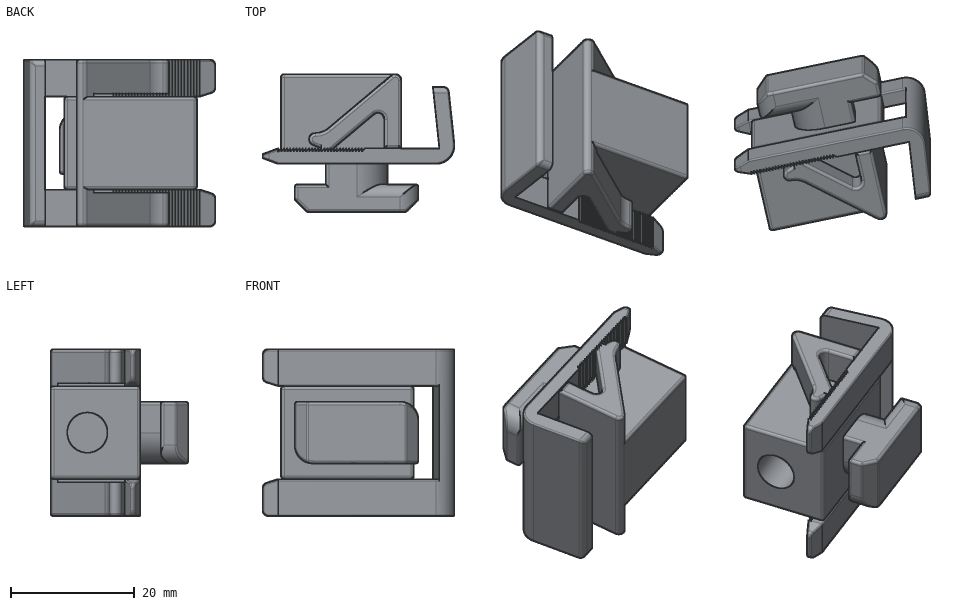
import cadquery as cq
import math

total_length = 31.0
total_height = 27.0
block_height = 15.0
edge_radius = 0.5
corner_radius = 1.0
half_height = total_height / 2
half_block = block_height / 2
tolerance = 0.03

block_left = -12.2
block_right = 7.22
base_right = 9.25
block_depth = 14.5
hole_diameter = 6.5
hole_depth = 15.0
hole_y = 8.55

stem_width = 10.0
stem_length = 3.3
head_width = 20.0
head_thickness = 4.5
head_chamfer = 2.0
head_corner_radius = 3.0
head_back_radius = 2.0
foot_front_y = -stem_length - head_thickness

fork_tip_x = -15.2
fork_thickness = 2.5
fork_edge_radius = 0.25
bend_radius = 3.0
plate_tilt = math.radians(6)
plate_end_y = 12.45
tip_length = 2.5
tip_width = 0.62
arm_flare = 0.8
rack_length = 14.0
tooth_count = 28
tooth_depth = 0.5
tooth_pitch = rack_length / tooth_count
root_y = fork_thickness - tooth_depth
rack_start = fork_tip_x + tip_length

pawl_gap = 0.5
leg_left = 4.43
pawl_angle = math.radians(40)
pawl_thickness = 3.0
pawl_crest_radius = 1.0
nose_radius = 1.0
nose_x = -6.7
nose_y = 4.0
nose_underside_angle = math.radians(22)
neck_radius = 3.35
gripped_tooth = 14
grip_x = rack_start + gripped_tooth * tooth_pitch


def along(point, angle, distance):
    """Point at a distance from another point in the direction of an angle."""
    return (point[0] + distance * math.cos(angle), point[1] + distance * math.sin(angle))


def extrude_z(profile, bottom, top):
    """Extrude a closed XY outline between two heights."""
    return profile.extrude(top - bottom).translate((0, 0, bottom))


def rack_cutter():
    """Sawtooth outline of the gaps between the teeth, open toward the back of the arms."""
    outline = cq.Workplane("XY").moveTo(rack_start, fork_thickness)
    for tooth in range(tooth_count):
        tooth_x = rack_start + tooth * tooth_pitch
        outline = outline.lineTo(tooth_x, root_y)
        outline = outline.lineTo(tooth_x + tooth_pitch, fork_thickness)
    return extrude_z(outline.close(), -half_height, half_height)


def rack_teeth():
    """The solid side of the sawtooth, down to below the roots of the teeth."""
    strip = cq.Workplane("XY").box(rack_length, 2 * tooth_depth, total_height)
    strip = strip.translate((rack_start + rack_length / 2, root_y, 0))
    return strip.cut(rack_cutter())



def fork_profile():
    """Side outline of the fork: tapered tip, straight arm, bend and tilted plate."""
    tip_bottom = (fork_thickness - tip_width) / 2
    bend = (fork_tip_x + total_length - bend_radius, bend_radius)
    bend_end = along(bend, plate_tilt, bend_radius)
    bend_middle = along(bend, (plate_tilt - math.pi / 2) / 2, bend_radius)

    def outer_x(y):
        return bend_end[0] - (y - bend_end[1]) * math.tan(plate_tilt)

    def inner_x(y):
        return outer_x(y) - fork_thickness / math.cos(plate_tilt)

    end_center_y = plate_end_y - corner_radius
    end_center = (outer_x(end_center_y) - corner_radius / math.cos(plate_tilt), end_center_y)
    profile = (
        cq.Workplane("XY")
        .moveTo(fork_tip_x, tip_bottom)
        .lineTo(rack_start, 0)
        .lineTo(bend[0], 0)
        .threePointArc(bend_middle, bend_end)
        .lineTo(*along(end_center, plate_tilt, corner_radius))
        .threePointArc(
            along(end_center, (plate_tilt + math.pi / 2) / 2, corner_radius),
            along(end_center, math.pi / 2, corner_radius),
        )
        .lineTo(inner_x(plate_end_y), plate_end_y)
        .lineTo(inner_x(fork_thickness), fork_thickness)
        .lineTo(rack_start, fork_thickness)
        .lineTo(fork_tip_x, tip_bottom + tip_width)
        .close()
    )
    return profile, inner_x(fork_thickness)


def is_rounded_fork_edge(edge):
    """The outline of each tapered tip and the edges along the outer face of the fork."""
    box = edge.BoundingBox()
    if box.xmax < rack_start + tolerance:
        runs_through_arm = box.xlen < tolerance and box.ylen > tolerance
        bounds_taper = box.xmin > rack_start - tolerance
        return not (runs_through_arm or bounds_taper)
    on_arm = box.ymax < fork_thickness / 2
    on_bend = box.ymin < tolerance and edge.geomType() == "CIRCLE"
    on_plate = box.xmin > block_right and box.ylen > plate_end_y / 2
    on_plate_outside = on_plate and box.ymin > fork_thickness + tolerance
    return (on_arm or on_bend or on_plate_outside) and box.zlen < tolerance


def make_fork():
    """Two toothed arms with tapered tips, joined by the tilted plate."""
    profile, slot_end = fork_profile()
    fork = extrude_z(profile, -half_height, half_height)

    slot = (
        cq.Workplane("XZ")
        .moveTo(fork_tip_x, half_block + arm_flare)
        .lineTo(rack_start, half_block)
        .lineTo(slot_end, half_block)
        .lineTo(slot_end, -half_block)
        .lineTo(rack_start, -half_block)
        .lineTo(fork_tip_x, -half_block - arm_flare)
        .close()
        .extrude(-fork_thickness)
    )
    fork = fork.cut(slot)

    fork = fork.faces("<X").edges("|Y").fillet(corner_radius)
    plate_end = (
        cq.Workplane("YZ")
        .rect(2 * plate_end_y, total_height)
        .extrude(total_length, both=True)
        .edges("|X and >Y")
        .fillet(corner_radius)
    )
    fork = fork.intersect(plate_end)
    fork = fork.edges().filter(is_rounded_fork_edge).fillet(fork_edge_radius)
    return fork.cut(rack_cutter())



def pawl_profile():
    """Outline of a leg and slanted arm, reaching down to the tooth roots under the nose."""
    slope = math.tan(pawl_angle)
    across = pawl_angle + math.pi / 2
    nose = (nose_x, nose_y)
    nose_lower = along(nose, -math.pi / 2 - nose_underside_angle, nose_radius)
    grip_y = nose_lower[1] - (grip_x - nose_lower[0]) * math.tan(nose_underside_angle)

    neck = (nose_x, nose_y + nose_radius + neck_radius)
    neck_end = along(neck, pawl_angle - math.pi / 2, neck_radius)
    neck_middle = along(neck, (pawl_angle - math.pi) / 2, neck_radius)

    def outer_y(x):
        return neck_end[1] + (x - neck_end[0]) * slope

    def inner_y(x):
        return outer_y(x) - pawl_thickness / math.cos(pawl_angle)

    crest_y = block_depth - pawl_crest_radius
    crest_x = neck_end[0] + (crest_y + pawl_crest_radius / math.cos(pawl_angle) - neck_end[1]) / slope
    crest = (crest_x, crest_y)
    corner = (block_right - corner_radius, block_depth - corner_radius)

    inner_x = leg_left - corner_radius
    inner = (inner_x, inner_y(inner_x) - corner_radius / math.cos(pawl_angle))
    root_x = neck_end[0] + (root_y - inner_y(neck_end[0])) / slope

    return (
        cq.Workplane("XY")
        .moveTo(grip_x, root_y)
        .lineTo(grip_x, grip_y)
        .lineTo(*nose_lower)
        .threePointArc((nose_x - nose_radius, nose_y), (nose_x, nose_y + nose_radius))
        .threePointArc(neck_middle, neck_end)
        .lineTo(*along(crest, across, pawl_crest_radius))
        .threePointArc(
            along(crest, (across + math.pi / 2) / 2, pawl_crest_radius),
            along(crest, math.pi / 2, pawl_crest_radius),
        )
        .lineTo(corner[0], block_depth)
        .threePointArc(along(corner, math.pi / 4, corner_radius), (block_right, corner[1]))
        .lineTo(block_right, fork_thickness)
        .lineTo(leg_left, fork_thickness)
        .lineTo(leg_left, inner[1])
        .threePointArc(
            along(inner, across / 2, corner_radius),
            along(inner, across, corner_radius),
        )
        .lineTo(root_x, root_y)
        .close()
    )


def is_rounded_pawl_edge(edge):
    """All edges of the pawl's outer face except those at the gripping teeth."""
    box = edge.BoundingBox()
    beside_grip = box.xmax < grip_x + tolerance and box.xlen < tolerance
    at_roots = box.ymax < root_y + tolerance
    return not (beside_grip or at_roots)


def make_pawl():
    """The +Z pawl; a gap frees its arm, so that only the leg is joined to the block."""
    pawl_base = half_block - edge_radius
    pawl = extrude_z(pawl_profile(), pawl_base, half_height)
    pawl = pawl.faces(">Z").edges().filter(is_rounded_pawl_edge).fillet(edge_radius)
    gap_length = leg_left - block_left
    gap = cq.Workplane("XY").box(gap_length, block_depth, pawl_gap + edge_radius, centered=False)
    return pawl.cut(gap.translate((block_left, 0, pawl_base))).cut(rack_teeth())


def make_block():
    """Block whose front layer, as thick as the fork, reaches further right between the arms."""
    outline = (
        cq.Workplane("XY")
        .moveTo(block_left, 0)
        .lineTo(base_right, 0)
        .lineTo(base_right, fork_thickness)
        .lineTo(block_right, fork_thickness)
        .lineTo(block_right, block_depth)
        .lineTo(block_left, block_depth)
        .close()
    )
    block = extrude_z(outline, -half_block, half_block)
    back_right = cq.selectors.NearestToPointSelector((block_right, block_depth, 0))
    block = block.edges("|Z").edges(back_right).fillet(corner_radius)
    block = block.edges("|Z and (<X or >X)").fillet(edge_radius)
    return block.faces("<Z or >Z").edges().fillet(edge_radius)


def head_bar():
    """Bar along Y with the rounded +X+Z and -X-Z corners of the head."""
    bar = cq.Workplane("XZ").rect(head_width, stem_width).extrude(-foot_front_y)
    return bar.edges("(>X and >Z) or (<X and <Z)").fillet(head_corner_radius)


def foot_stem():
    """Square stem whose +X+Z and -X-Z quarters are round."""
    half = stem_width / 2
    return (
        cq.Workplane("XZ")
        .moveTo(0, half)
        .lineTo(-half, half)
        .lineTo(-half, 0)
        .radiusArc((0, -half), -half)
        .lineTo(half, -half)
        .lineTo(half, 0)
        .radiusArc((0, half), -half)
        .close()
        .extrude(-foot_front_y)
    )


def foot_arm():
    """The +X half of the head, with its back rounded on the +Z side."""
    half_head = head_width / 2
    side = (
        cq.Workplane("XY")
        .moveTo(0, -stem_length)
        .lineTo(half_head - edge_radius, -stem_length)
        .radiusArc((half_head, -stem_length - edge_radius), edge_radius)
        .lineTo(half_head, foot_front_y + head_chamfer)
        .lineTo(half_head - head_chamfer, foot_front_y)
        .lineTo(0, foot_front_y)
        .close()
    )
    back_limit = (
        cq.Workplane("XY")
        .box(head_width, 2 * head_thickness, stem_width)
        .translate((0, foot_front_y, 0))
        .edges("|X and >Y and >Z")
        .fillet(head_back_radius)
    )
    arm = extrude_z(side, -stem_width / 2, stem_width / 2)
    return arm.intersect(head_bar()).intersect(back_limit)


def is_rounded_foot_edge(edge):
    """Edges around the front and its chamfers, and those of the two plain sides."""
    box = edge.BoundingBox()
    if box.ymax < foot_front_y + head_chamfer + tolerance:
        along_y = box.xlen < tolerance and box.zlen < tolerance
        return not along_y
    if box.ymin > -tolerance:
        return False
    half = stem_width / 2 - tolerance
    on_side = box.zlen < tolerance and abs(box.center.z) > half and abs(box.center.x) > half
    return on_side and box.center.x * box.center.z < 0


def make_foot():
    """T-shaped foot, unchanged by half a turn about Y."""
    arm = foot_arm()
    foot = foot_stem().union(arm).union(arm.rotate((0, 0, 0), (0, 1, 0), 180)).clean()
    return foot.edges().filter(is_rounded_foot_edge).fillet(edge_radius)


def make_housing():
    """Block, hole, foot and the two mirrored pawls as one solid."""
    housing = make_block()
    hole = cq.Workplane("YZ").center(hole_y, 0).circle(hole_diameter / 2).extrude(hole_depth)
    housing = housing.cut(hole.translate((block_left, 0, 0)))
    housing = housing.union(make_foot())
    pawl = make_pawl()
    for side_pawl in (pawl, pawl.mirror("XY")):
        housing = housing.union(side_pawl)
    return housing


fork = make_fork()
housing = make_housing()
result = cq.Compound.makeCompound([housing.val(), fork.val()])